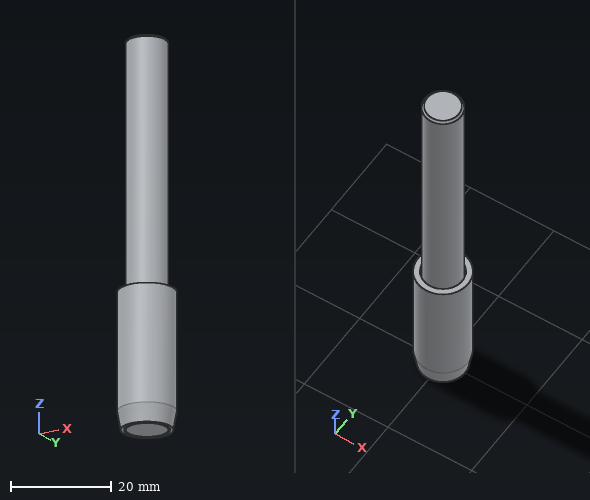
import cadquery as cq

total_length = 82.0

sleeve_diameter = 12.0
sleeve_length = 29.0
bore_diameter = 9.2
taper_length = 3.9
taper_end_diameter = 10.6

rod_diameter = 8.5
rod_chamfer = 0.5


def make_sleeve():
    """Tube standing on Z = 0, narrowing towards its lower end."""
    bore_radius = bore_diameter / 2
    outer_radius = sleeve_diameter / 2
    profile = [
        (bore_radius, 0),
        (taper_end_diameter / 2, 0),
        (outer_radius, taper_length),
        (outer_radius, sleeve_length),
        (bore_radius, sleeve_length),
    ]
    axis_start = (0, 0)
    axis_end = (0, 1)
    return cq.Workplane("XZ").polyline(profile).close().revolve(360, axis_start, axis_end)


def make_rod():
    """Full-length round bar, flush with the sleeve's lower end and chamfered on top."""
    rod = cq.Workplane("XY").circle(rod_diameter / 2).extrude(total_length)
    return rod.faces(">Z").edges().chamfer(rod_chamfer)


sleeve = make_sleeve()
rod = make_rod()

result = cq.Compound.makeCompound([sleeve.val(), rod.val()])